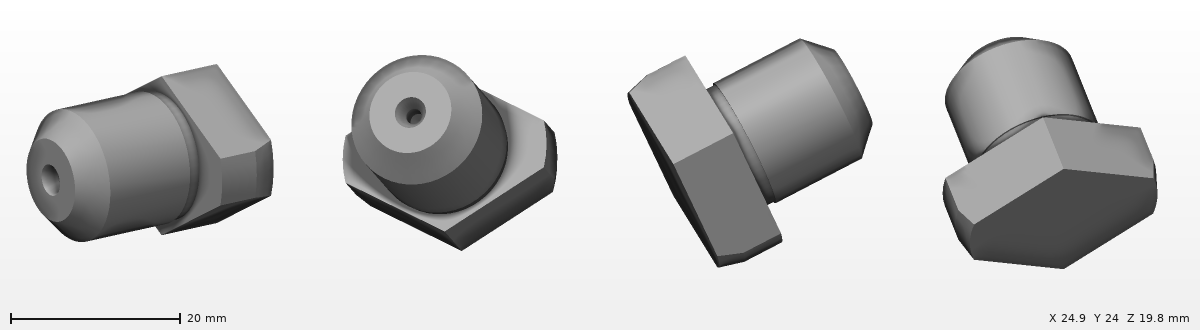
import cadquery as cq
import math

head_diameter = 24.92
head_height = 19.8
total_length = 24.0

head_length = 8.0
flat_angle = 30.0
taper_length = 3.0
taper_angle = 15.0

shank_diameter = 16.0
neck_diameter = 15.5
neck_length = 1.5
tip_chamfer = 3.0

centre_diameter = 3.8
centre_angle = 60.0
pilot_diameter = 1.87
pilot_length = 2.0
drill_point_angle = 120.0

back_y = total_length / 2
head_front_y = back_y - head_length
neck_front_y = head_front_y - neck_length
tip_y = -total_length / 2


def revolve_profile(points):
    """Turn a closed (radius, Y) profile about the Y axis."""
    return cq.Workplane("XY").polyline(points).close().revolve(360, (0, 0, 0), (0, 1, 0))


def make_head():
    half_height = head_height / 2
    diamond_reach = half_height / math.tan(math.radians(flat_angle))
    diamond = (
        cq.Workplane("XZ", origin=(0, back_y, 0))
        .polyline([(0, half_height), (diamond_reach, 0), (0, -half_height), (-diamond_reach, 0)])
        .close()
        .extrude(head_length)
    )
    radius = head_diameter / 2
    back_radius = radius - taper_length * math.tan(math.radians(taper_angle))
    turned_blank = revolve_profile([
        (0, head_front_y),
        (radius, head_front_y),
        (radius, back_y - taper_length),
        (back_radius, back_y),
        (0, back_y),
    ])
    return diamond.intersect(turned_blank)


def make_shank():
    radius = shank_diameter / 2
    neck_radius = neck_diameter / 2
    return revolve_profile([
        (0, head_front_y),
        (neck_radius, head_front_y),
        (neck_radius, neck_front_y),
        (radius, neck_front_y),
        (radius, tip_y + tip_chamfer),
        (radius - tip_chamfer, tip_y),
        (0, tip_y),
    ])


def make_centre_hole():
    radius = centre_diameter / 2
    pilot_radius = pilot_diameter / 2
    pilot_start_y = tip_y + (radius - pilot_radius) / math.tan(math.radians(centre_angle / 2))
    pilot_end_y = pilot_start_y + pilot_length
    point_depth = pilot_radius / math.tan(math.radians(drill_point_angle / 2))
    return revolve_profile([
        (0, tip_y),
        (radius, tip_y),
        (pilot_radius, pilot_start_y),
        (pilot_radius, pilot_end_y),
        (0, pilot_end_y + point_depth),
    ])


result = make_head().union(make_shank()).cut(make_centre_hole())